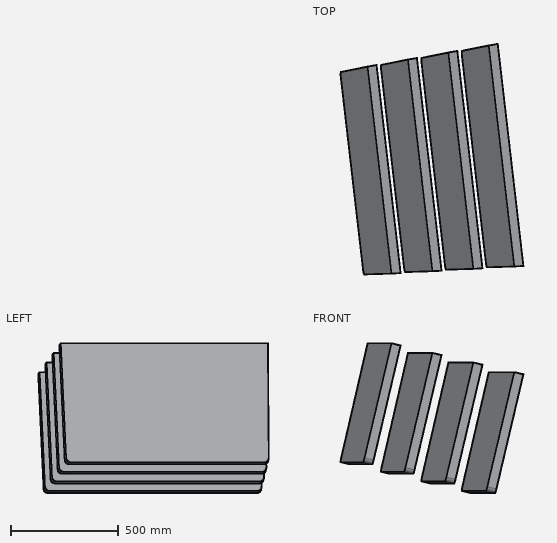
import cadquery as cq
import math

panel_count = 4
panel_pitch = 196.0
panel_thickness = 44.0
panel_height = 569.0
first_length = 972.0
corner_radius = 22.0

stack_flare = 3.2
end_draft = 1.1

turn_angle = 6.6
lean_angle = 13.2

lean = math.radians(lean_angle)
turn = math.radians(turn_angle)
stack_axis = (math.cos(lean) * math.cos(turn), math.cos(lean) * math.sin(turn), -math.sin(lean))
panel_up = (math.sin(lean) * math.cos(turn), math.sin(lean) * math.sin(turn), math.cos(lean))
stack_plane = cq.Plane(origin=(0, 0, 0), xDir=stack_axis, normal=panel_up)


def face_outline(depth):
    """Closed outline of the tapered stack, cut square to the stack axis at a given depth."""
    half_top = first_length / 2 + depth * math.tan(math.radians(stack_flare))
    half_bottom = half_top - panel_height * math.tan(math.radians(end_draft))
    return cq.Wire.makePolygon(
        [
            cq.Vector(depth, -half_top, 0),
            cq.Vector(depth, half_top, 0),
            cq.Vector(depth, half_bottom, -panel_height),
            cq.Vector(depth, -half_bottom, -panel_height),
        ],
        close=True,
    )


def make_panel(index):
    """One panel: wedge-ended slab with two rounded lower corners."""
    near_depth = index * panel_pitch
    far_depth = near_depth + panel_thickness
    slab = cq.Solid.makeLoft([face_outline(near_depth), face_outline(far_depth)], True)
    lower_corners = cq.Workplane(slab).faces("<Z").edges("<Y or >Y")
    rounded = lower_corners.fillet(corner_radius).val()
    return rounded.moved(cq.Location(stack_plane))


panels = [make_panel(index) for index in range(panel_count)]

result = cq.Compound.makeCompound(panels)